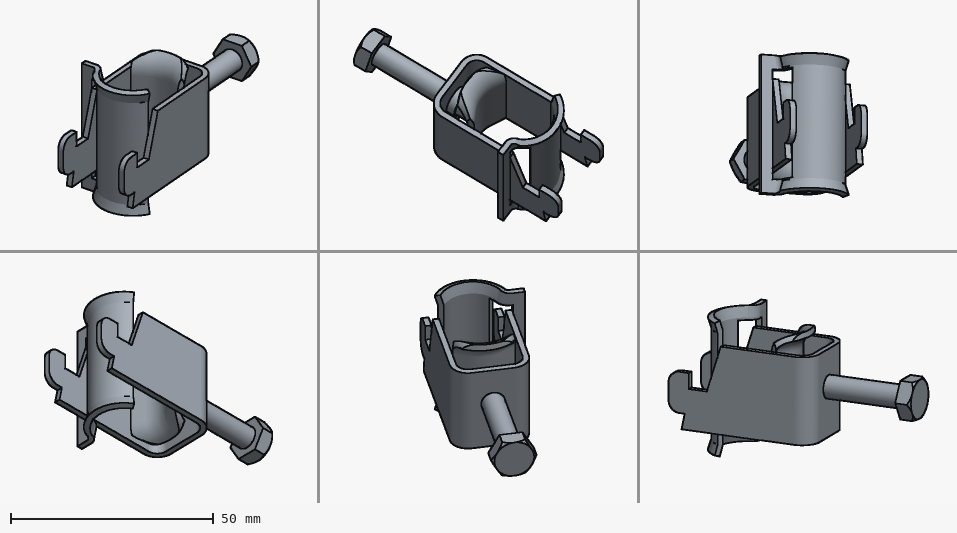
import cadquery as cq
import math


sheet = 1.6
cable_radius = 7.5

strap_width = 20.0
strap_top = 9.7
strap_bottom = -12.9
strap_bend_radius = 3.0
hook_end = -39.05
hook_radius = 3.0
hook_top = 1.8
hook_bottom = -8.8
notch_start = -28.55
notch_end = -33.4
notch_floor = -2.3
slope_start = -24.7
barb_root = -34.6
barb_tip = -35.45
collar_diameter = 7.2
collar_height = 2.25

screw_diameter = 6.0
head_bottom = 21.0
head_height = 4.0
head_across_flats = 10.0
head_across_corners = head_across_flats / math.cos(math.radians(30))

saddle_front = -9.5
saddle_half_angle = 27
saddle_wing_length = 4.15
saddle_straight_half = 8.7
saddle_roll_radius = 5.4
saddle_roll_angle = 77
saddle_corner_radius = 4.1
saddle_trim_x = 7.9
saddle_trim_y = -10.25
saddle_trim_lean = 9

trough_x = 0.45
trough_bottom = -30.9
trough_end_angle = -30
trough_height = 35.0
trough_middle = -1.8
lip_height = 2.9
lip_tilt = 18
plate_edge = -13.0
plate_back = -23.2
trough_bend_radius = 1.8
bend_sections = 5
window_height = 27.85
window_end_angle = 225


def radial_plane(center, angle):
    """Plane through a Z-parallel axis: local x is radial, local y is Z, normal turns clockwise."""
    turn = math.radians(angle)
    outward = (math.cos(turn), math.sin(turn), 0)
    clockwise = (math.sin(turn), -math.cos(turn), 0)
    return cq.Plane(origin=center, xDir=outward, normal=clockwise)


def strap_side_outline():
    """Side outline of the strap with hooked legs, extruded across its full width."""
    return (
        cq.Workplane("YZ", origin=(-strap_width / 2, 0, 0))
        .moveTo(0, strap_bottom)
        .lineTo(0, strap_top)
        .lineTo(slope_start, strap_top)
        .lineTo(notch_start, notch_floor)
        .lineTo(notch_end, notch_floor)
        .lineTo(notch_end, hook_top)
        .lineTo(hook_end + hook_radius, hook_top)
        .radiusArc((hook_end, hook_top - hook_radius), -hook_radius)
        .lineTo(hook_end, hook_bottom + hook_radius)
        .radiusArc((hook_end + hook_radius, hook_bottom), -hook_radius)
        .lineTo(barb_root, hook_bottom)
        .lineTo(barb_tip, strap_bottom)
        .close()
        .extrude(strap_width)
    )


def rounded_block(width, back, bend_radius):
    """Block from the hook ends to a back face whose two vertical edges are rounded."""
    return (
        cq.Workplane("XY", origin=(0, (back + hook_end) / 2, strap_bottom))
        .rect(width, back - hook_end)
        .extrude(strap_top - strap_bottom)
        .edges("|Z and >Y")
        .fillet(bend_radius)
    )


def make_strap():
    outer = rounded_block(strap_width, 0, strap_bend_radius + sheet)
    inner = rounded_block(strap_width - 2 * sheet, -sheet, strap_bend_radius)
    band = outer.cut(inner).intersect(strap_side_outline())
    collar_end = sheet + collar_height
    collar = cq.Workplane("XZ").circle(collar_diameter / 2).extrude(collar_end)
    bore = cq.Workplane("XZ").circle(screw_diameter / 2).extrude(collar_end)
    return band.union(collar).cut(bore)


def make_screw():
    tip = saddle_front + sheet
    shank = (
        cq.Workplane("XZ", origin=(0, head_bottom, 0))
        .circle(screw_diameter / 2)
        .extrude(head_bottom - tip)
    )
    head = (
        cq.Workplane("XZ", origin=(0, head_bottom, 0))
        .polygon(6, head_across_corners)
        .extrude(-head_height)
    )
    crown = (
        cq.Workplane("XZ", origin=(0, head_bottom, 0))
        .circle(head_across_flats / 2 + head_height)
        .extrude(-head_height, taper=45)
    )
    return shank.union(head.intersect(crown))


def saddle_profile(plane):
    """Radial section of the saddle: straight in the middle, rolled outward at both ends."""
    roll_center = cable_radius + saddle_roll_radius

    def roll_point(radius, share):
        turn = math.radians(share * saddle_roll_angle)
        return (roll_center - radius * math.cos(turn), saddle_straight_half + radius * math.sin(turn))

    def below(point):
        return (point[0], -point[1])

    shares = (0, 0.5, 1)
    front = [roll_point(saddle_roll_radius, share) for share in shares]
    back = [roll_point(saddle_roll_radius - sheet, share) for share in shares]
    return (
        cq.Workplane(plane)
        .moveTo(*below(front[0]))
        .lineTo(*front[0])
        .threePointArc(front[1], front[2])
        .lineTo(*back[2])
        .threePointArc(back[1], back[0])
        .lineTo(*below(back[0]))
        .threePointArc(below(back[1]), below(back[2]))
        .lineTo(*below(front[2]))
        .threePointArc(below(front[1]), below(front[0]))
        .close()
    )


def make_saddle():
    center = (0, saddle_front - cable_radius, 0)
    wing_plane = radial_plane(center, 90 - saddle_half_angle)
    arch = saddle_profile(wing_plane).revolve(2 * saddle_half_angle, (0, 0), (0, 1))
    wing = saddle_profile(wing_plane).extrude(saddle_wing_length)
    bent_sheet = arch.union(wing).union(wing.mirror("YZ"))

    roll_rise = saddle_roll_radius * math.sin(math.radians(saddle_roll_angle))
    saddle_height = 2 * (saddle_straight_half + roll_rise)
    trim_depth = 2 * cable_radius
    trim = (
        cq.Workplane("XY")
        .box(2 * saddle_trim_x, trim_depth, saddle_height)
        .edges("|Y and >X")
        .fillet(saddle_corner_radius)
        .translate((-saddle_trim_x, 0, 0))
        .rotate((0, 0, 0), (0, 0, 1), saddle_trim_lean)
        .translate((saddle_trim_x, saddle_trim_y, 0))
    )
    return bent_sheet.intersect(trim).intersect(trim.mirror("YZ"))


def trough_section(plane, inner_face, outward, tilt):
    """Section of the trough sheet, with its two end lips tilted outward by the given angle.

    inner_face is the radius of the inner face, and outward (1 or -1) the way to the outer face.
    """
    turn = math.radians(tilt)
    top = trough_height / 2
    kink = top - lip_height
    spread = lip_height * math.tan(turn)
    upper_half = [
        (sheet, kink - sheet * math.tan(turn / 2)),
        (spread + sheet * math.cos(turn), top - sheet * math.sin(turn)),
        (spread, top),
        (0, kink),
    ]
    lower_half = [(depth, -z) for depth, z in reversed(upper_half)]
    points = [(inner_face + outward * depth, z) for depth, z in upper_half + lower_half]
    return cq.Workplane(plane).polyline(points).close()


def make_trough():
    outer_radius = cable_radius + sheet
    center = cq.Vector(trough_x, trough_bottom + outer_radius, trough_middle)

    bend_y = plate_back - sheet - trough_bend_radius
    center_distance = outer_radius + trough_bend_radius
    bend_angle = math.degrees(math.asin((center.y - bend_y) / center_distance))
    bend_x = trough_x - center_distance * math.cos(math.radians(bend_angle))
    bend_center = cq.Vector(bend_x, bend_y, trough_middle)

    start_angle = bend_angle - 180
    round_part = trough_section(
        radial_plane(center, start_angle), cable_radius, 1, lip_tilt
    ).revolve(trough_end_angle - start_angle, (0, 0), (0, 1))

    outlines = []
    for index in range(bend_sections):
        share = index / (bend_sections - 1)
        plane = radial_plane(bend_center, 90 + share * (bend_angle - 90))
        section = trough_section(plane, trough_bend_radius + sheet, -1, share * lip_tilt)
        outlines.append(section.val())
    bend = cq.Workplane(cq.Solid.makeLoft(outlines))

    plate = (
        cq.Workplane("XY", origin=(plate_edge, plate_back - sheet, trough_middle - trough_height / 2))
        .box(bend_x - plate_edge, sheet, trough_height, centered=False)
    )

    leg_face = -strap_width / 2
    reach = (leg_face - trough_x) / math.cos(math.radians(window_end_angle))
    far_y = center.y + reach * math.sin(math.radians(window_end_angle))
    window = (
        cq.Workplane("XY", origin=(0, 0, trough_middle - window_height / 2))
        .polyline([(center.x, center.y), (leg_face, center.y), (leg_face, far_y)])
        .close()
        .extrude(window_height)
    )
    return round_part.union(bend).union(plate).cut(window)


strap = make_strap()
screw = make_screw()
saddle = make_saddle()
trough = make_trough()

result = cq.Compound.makeCompound([body.solids().val() for body in (strap, screw, saddle, trough)])